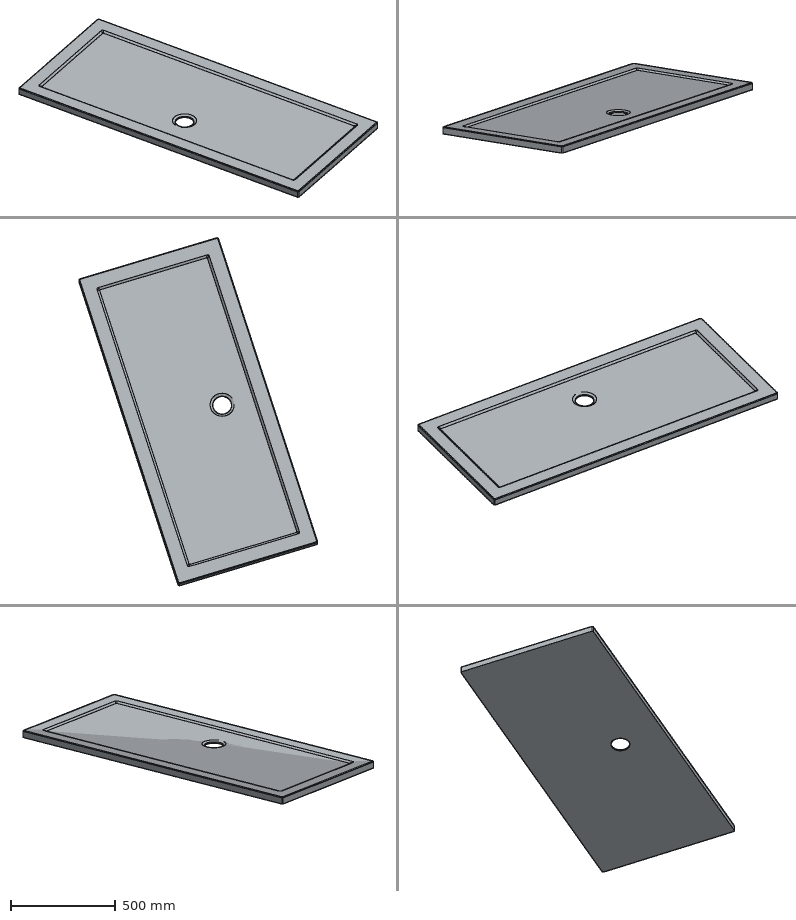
import cadquery as cq
import math

length = 1600.0
width = 700.0
height = 35.0
corner_chamfer = 5.0
edge_chamfer = 4.0

rim_width = 69.0
rim_drop = 2.0
wall_run = 11.0
wall_drop = 8.0

drain_y = -120.0
drain_radius = 45.0
ring_radius = 58.0
floor_drop = 13.0
ring_drop = 5.6
crease_angle = 25.0
side_crease_y = 46.0

rim_edge_z = height - rim_drop
floor_edge_z = rim_edge_z - wall_drop
ring_z = floor_edge_z - floor_drop
drain_z = ring_z - ring_drop


def chamfered_rectangle(inset, z):
    """Rectangle with clipped corners, as a closed wire at height z."""
    x = length / 2 - inset
    y = width / 2 - inset
    c = corner_chamfer
    corners = [
        (x, y - c), (x - c, y), (c - x, y), (-x, y - c),
        (-x, c - y), (c - x, -y), (x - c, -y), (x, c - y),
    ]
    return cq.Wire.makePolygon([cq.Vector(px, py, z) for px, py in corners], close=True)


def tapered_block(lower_inset, lower_z, upper_inset, upper_z):
    """Solid with flat sides between two clipped rectangles."""
    lower = chamfered_rectangle(lower_inset, lower_z)
    upper = chamfered_rectangle(upper_inset, upper_z)
    return cq.Solid.makeLoft([lower, upper], True)


def ring_point(angle):
    """Point on the drain ring, with the angle in degrees from +X."""
    a = math.radians(angle)
    return cq.Vector(ring_radius * math.cos(a), drain_y + ring_radius * math.sin(a), ring_z)


def floor_cutter():
    """Volume above the floor, which falls from a clipped rectangle to the drain ring."""
    x = length / 2 - rim_width - wall_run
    y = width / 2 - rim_width - wall_run
    c = corner_chamfer
    joints = [
        (x, side_crease_y, 0),
        (x, y - c, crease_angle),
        (x - c, y, crease_angle),
        (c - x, y, 180 - crease_angle),
        (-x, y - c, 180 - crease_angle),
        (-x, side_crease_y, 180),
        (-x, c - y, 180 + crease_angle),
        (c - x, -y, 180 + crease_angle),
        (x - c, -y, 360 - crease_angle),
        (x, c - y, 360 - crease_angle),
        (x, side_crease_y, 360),
    ]
    facets = []
    arcs = []
    sides = []
    for (x1, y1, a1), (x2, y2, a2) in zip(joints, joints[1:]):
        start = cq.Vector(x1, y1, floor_edge_z)
        end = cq.Vector(x2, y2, floor_edge_z)
        side = cq.Edge.makeLine(start, end)
        sides.append(side)
        if a1 == a2:
            triangle = cq.Wire.makePolygon([start, end, ring_point(a1)], close=True)
            facets.append(cq.Face.makeFromWires(triangle))
            continue
        arc = cq.Edge.makeThreePointArc(ring_point(a1), ring_point((a1 + a2) / 2), ring_point(a2))
        facets.append(cq.Face.makeRuledSurface(side, arc))
        arcs.append(arc)
    lid = cq.Face.makeFromWires(cq.Wire.assembleEdges(sides))
    ring = cq.Face.makeFromWires(cq.Wire.assembleEdges(arcs))
    return cq.Solid.makeSolid(cq.Shell.makeShell(facets + [lid, ring]))


def drain_cutters():
    """Conical seat below the floor ring and a straight hole through the base."""
    drain_center = cq.Vector(0, drain_y, 0)
    up = cq.Vector(0, 0, 1)
    seat_center = cq.Vector(0, drain_y, drain_z)
    seat = cq.Solid.makeCone(drain_radius, ring_radius, ring_drop, seat_center, up)
    hole = cq.Solid.makeCylinder(drain_radius, height, drain_center, up)
    return seat, hole


base = tapered_block(0, 0, 0, height - edge_chamfer)
top_edge = tapered_block(0, height - edge_chamfer, edge_chamfer, height)
rim = tapered_block(edge_chamfer, height, rim_width, rim_edge_z)
wall = tapered_block(rim_width, rim_edge_z, rim_width + wall_run, floor_edge_z)

tray = cq.Workplane(obj=base).union(cq.Workplane(obj=top_edge))
for cutter in (rim, wall, floor_cutter(), *drain_cutters()):
    tray = tray.cut(cq.Workplane(obj=cutter))

result = tray.solids()